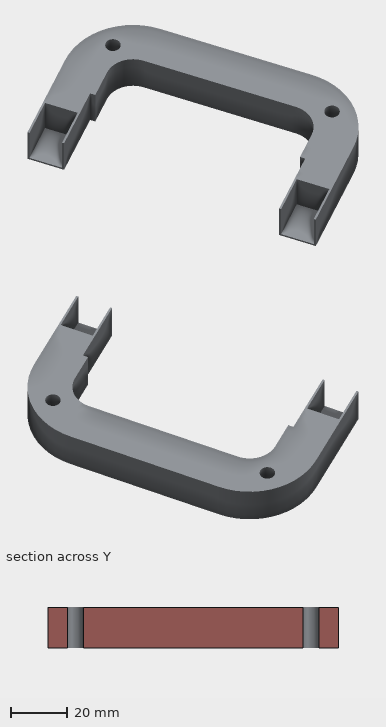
import cadquery as cq

width = 110.0
depth = 62.0
height = 14.5

bar_thickness = 16.0
outer_radius = 26.0
inner_radius = outer_radius - bar_thickness

leg_end_width = 14.0
leg_end_length = 25.0

socket_wall = 0.8
socket_floor = socket_wall
socket_width = leg_end_width - 2 * socket_wall
socket_length = 15.0

hole_diameter = 5.5
hole_inset = 13.2


def block(x_min, y_min, z_min, x_size, y_size, z_size):
    """Box placed by its lowest corner."""
    return cq.Workplane("XY").box(x_size, y_size, z_size, centered=False).translate((x_min, y_min, z_min))


def handle_body():
    """Rounded U with its back along +Y and its leg tips at Y = 0."""
    outer = block(-width / 2, 0, 0, width, depth, height)
    outer = outer.edges("|Z and >Y").fillet(outer_radius)
    opening_width = width - 2 * bar_thickness
    opening = block(-opening_width / 2, 0, 0, opening_width, depth - bar_thickness, height)
    opening = opening.edges("|Z and >Y").fillet(inner_radius)
    return outer.cut(opening)


def leg_relief():
    """Widening of the opening between the leg ends."""
    relief_width = width - 2 * leg_end_width
    return block(-relief_width / 2, 0, 0, relief_width, leg_end_length, height)


def left_socket():
    return block(
        -width / 2 + socket_wall, 0, socket_floor,
        socket_width, socket_length, height - socket_floor,
    )


def corner_holes():
    hole_x = width / 2 - hole_inset
    hole_y = depth - hole_inset
    return (
        cq.Workplane("XY")
        .pushPoints([(-hole_x, hole_y), (hole_x, hole_y)])
        .circle(hole_diameter / 2)
        .extrude(height)
    )


socket = left_socket()
result = (
    handle_body()
    .cut(leg_relief())
    .cut(socket)
    .cut(socket.mirror("YZ"))
    .cut(corner_holes())
)